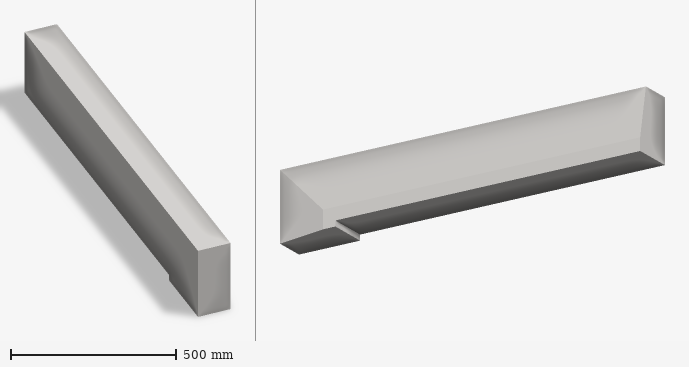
import cadquery as cq

length = 1311.0
depth = 140.0
height = 240.0

foot_length = 219.0
foot_height = 20.0

top_depth = 108.0
slope_start_height = 64.0

taper_length = 175.0

body = (
    cq.Workplane("YZ")
    .polyline([
        (0, 0),
        (depth, 0),
        (depth, slope_start_height),
        (top_depth, height),
        (0, height),
    ])
    .close()
    .extrude(length)
)

underside_cut = cq.Workplane("XY").box(
    length - foot_length, depth, foot_height, centered=False
)

taper_cut = (
    cq.Workplane("XY")
    .polyline([
        (length - taper_length, depth),
        (length, depth),
        (length, top_depth),
    ])
    .close()
    .extrude(height)
)

result = body.cut(underside_cut).cut(taper_cut)